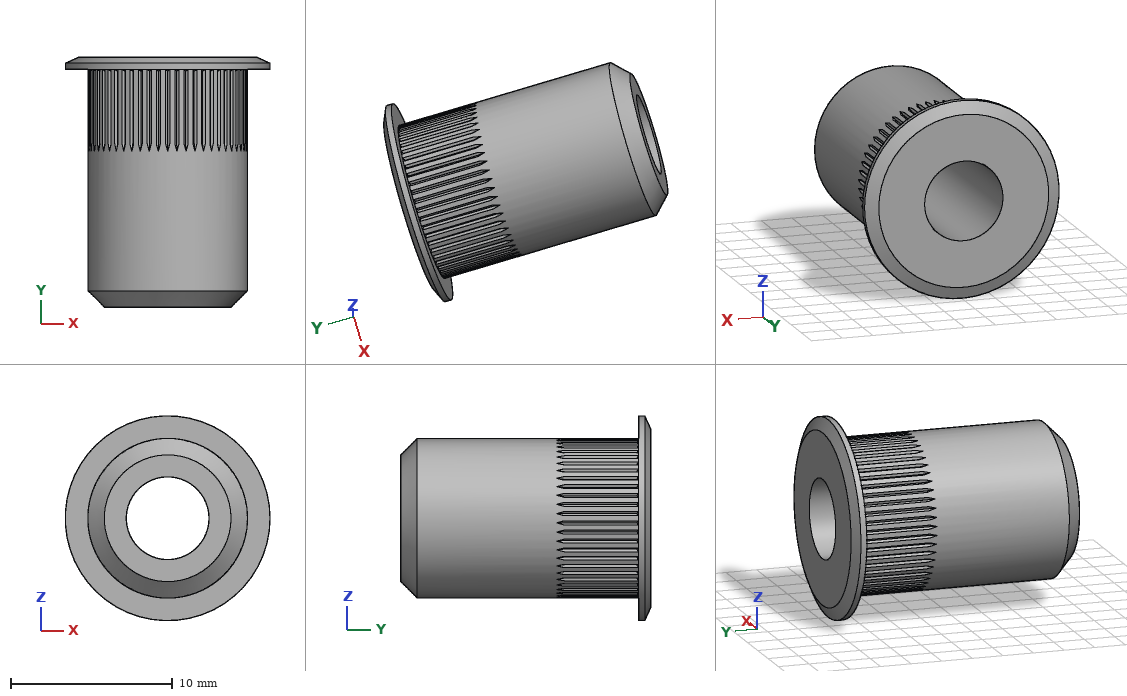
import cadquery as cq
import math

total_length = 15.49
bore_diameter = 5.11

body_diameter = 9.9
nose_chamfer = 1.02

flange_diameter = 12.7
flange_thickness = 0.76
flange_bevel_height = 0.37
flange_bevel_width = 0.8

groove_count = 54
groove_width = 0.26
groove_angle = 90.0
groove_length = 5.07
groove_runout = 0.46
groove_end_slope = 0.11

bore_radius = bore_diameter / 2
body_radius = body_diameter / 2
flange_radius = flange_diameter / 2
flange_underside = total_length - flange_thickness
half_angle_tangent = math.tan(math.radians(groove_angle / 2))
groove_depth = groove_width / 2 / half_angle_tangent


def make_body():
    """Plain sleeve with a chamfered free end."""
    return (
        cq.Workplane("XY")
        .moveTo(bore_radius, 0)
        .lineTo(body_radius - nose_chamfer, 0)
        .lineTo(body_radius, nose_chamfer)
        .lineTo(body_radius, total_length)
        .lineTo(bore_radius, total_length)
        .close()
        .revolve(360, (0, 0, 0), (0, 1, 0))
    )


def make_flange():
    """Thin ring with a shallow bevel on its outer face."""
    return (
        cq.Workplane("XY")
        .moveTo(bore_radius, flange_underside)
        .lineTo(flange_radius, flange_underside)
        .lineTo(flange_radius, total_length - flange_bevel_height)
        .lineTo(flange_radius - flange_bevel_width, total_length)
        .lineTo(bore_radius, total_length)
        .close()
        .revolve(360, (0, 0, 0), (0, 1, 0))
    )


def groove_section(root_y, root_z, lean=0.0):
    """V outline, twice the groove depth tall, its open side shifted by lean along Y."""
    height = 2 * groove_depth
    half_width = height * half_angle_tangent
    return cq.Wire.makePolygon(
        [
            cq.Vector(0, root_y, root_z),
            cq.Vector(half_width, root_y + lean, root_z + height),
            cq.Vector(-half_width, root_y + lean, root_z + height),
        ],
        close=True,
    )


def make_groove_cutter():
    """Cutter for the groove on the +Z side of the body."""
    root_z = body_radius - groove_depth
    runout_start = flange_underside - groove_length + groove_runout
    sections = [
        groove_section(flange_underside - groove_end_slope, root_z, lean=2 * groove_end_slope),
        groove_section(runout_start, root_z),
        groove_section(runout_start - 2 * groove_runout, root_z + 2 * groove_depth),
    ]
    return cq.Solid.makeLoft(sections, True)


def cut_grooves(body):
    cutter = make_groove_cutter()
    axis_start = cq.Vector(0, 0, 0)
    axis_end = cq.Vector(0, 1, 0)
    cutters = [
        cutter.rotate(axis_start, axis_end, i * 360 / groove_count)
        for i in range(groove_count)
    ]
    return cq.Workplane(body.val().cut(*cutters))


result = cut_grooves(make_body()).union(make_flange())